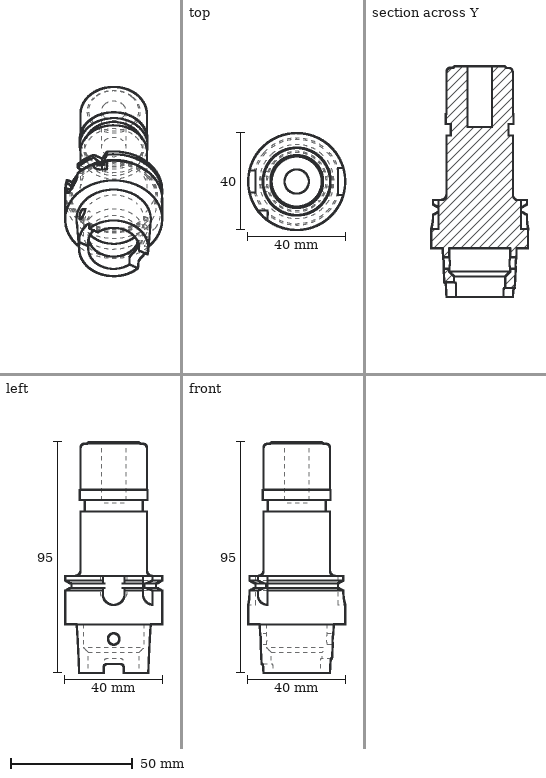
import cadquery as cq
import math


shank_length = 20.0
shank_seat_radius = 15.3
shank_taper = 1 / 20
shank_end_radius = shank_seat_radius - shank_taper * shank_length
shank_bore_radius = 12.5
mouth_radius = 10.5
mouth_cone_base = -9.5
mouth_cone_height = shank_bore_radius - mouth_radius
clamp_hole_radius = 2.3
clamp_hole_height = -6.0
drive_slot_width = 8.1
drive_slot_corner = 1.4
drive_slot_depths = {-1: 3.7, 1: 6.0}

flange_radius = 20.0
flange_height = 20.0
groove_radius = 17.4
groove_flank_radius = 18.0
groove_bottom = 15.0
groove_top = 16.9
groove_flank_angle = 30.0
flank_height = (flange_radius - groove_flank_radius) * math.tan(math.radians(groove_flank_angle))

slot_floor = 17.0
slot_end_height = 8.0
slot_widths = {-1: 9.0, 1: 11.0}
index_notch_inset = 12.0
index_notch_width = 9.0

total_height = 75.0
body_radius = 13.75
body_top = 46.5
body_fillet = 2.0
neck_radius = 12.0
collar_radius = 14.0
collar_bottom = 51.1
collar_top = 55.45
collar_chamfer = collar_radius - body_radius
nut_top = 74.4
nut_fillet = 2.0
collet_radius = 10.9
collet_chamfer = total_height - nut_top
collet_hole_radius = 5.0
collet_hole_depth = 25.0


def make_turned_body():
    """Outer shape, revolved about Z."""
    body_arc_offset = body_fillet * (1 - math.sqrt(0.5))
    body_arc_middle = (body_radius + body_arc_offset, flange_height + body_arc_offset)
    nut_arc_offset = nut_fillet * math.sqrt(0.5)
    nut_arc_middle = (
        body_radius - nut_fillet + nut_arc_offset,
        nut_top - nut_fillet + nut_arc_offset,
    )
    return (
        cq.Workplane("XZ")
        .moveTo(0, -shank_length)
        .lineTo(shank_end_radius, -shank_length)
        .lineTo(shank_seat_radius, 0)
        .lineTo(flange_radius, 0)
        .lineTo(flange_radius, groove_bottom - flank_height)
        .lineTo(groove_flank_radius, groove_bottom)
        .lineTo(groove_radius, groove_bottom)
        .lineTo(groove_radius, groove_top)
        .lineTo(groove_flank_radius, groove_top)
        .lineTo(flange_radius, groove_top + flank_height)
        .lineTo(flange_radius, flange_height)
        .lineTo(body_radius + body_fillet, flange_height)
        .threePointArc(body_arc_middle, (body_radius, flange_height + body_fillet))
        .lineTo(body_radius, body_top)
        .lineTo(neck_radius, body_top)
        .lineTo(neck_radius, collar_bottom)
        .lineTo(collar_radius, collar_bottom)
        .lineTo(collar_radius, collar_top - collar_chamfer)
        .lineTo(body_radius, collar_top)
        .lineTo(body_radius, nut_top - nut_fillet)
        .threePointArc(nut_arc_middle, (body_radius - nut_fillet, nut_top))
        .lineTo(collet_radius, nut_top)
        .lineTo(collet_radius - collet_chamfer, total_height)
        .lineTo(0, total_height)
        .close()
        .revolve(360, (0, 0, 0), (0, 1, 0))
    )


def make_shank_bore():
    """Hollow of the shank, narrowing to its mouth through a 45 degree cone."""
    return (
        cq.Workplane("XZ")
        .moveTo(0, -shank_length)
        .lineTo(mouth_radius, -shank_length)
        .lineTo(mouth_radius, mouth_cone_base - mouth_cone_height)
        .lineTo(shank_bore_radius, mouth_cone_base)
        .lineTo(shank_bore_radius, 0)
        .lineTo(0, 0)
        .close()
        .revolve(360, (0, 0, 0), (0, 1, 0))
    )


def make_collet_hole():
    """Blind tool hole in the end of the collet."""
    return (
        cq.Workplane("XY", origin=(0, 0, total_height - collet_hole_depth))
        .circle(collet_hole_radius)
        .extrude(collet_hole_depth)
    )


def make_clamp_hole():
    """Radial hole through both shank walls along X."""
    return (
        cq.Workplane("YZ", origin=(0, 0, clamp_hole_height))
        .circle(clamp_hole_radius)
        .extrude(shank_seat_radius, both=True)
    )


def make_drive_slot(side):
    """Slot with rounded upper corners in the shank end, open towards one side of X."""
    depth = drive_slot_depths[side]
    return (
        cq.Workplane("XY", origin=(side * shank_seat_radius / 2, 0, -shank_length))
        .box(shank_seat_radius, drive_slot_width, depth, centered=(True, True, False))
        .edges("|X and >Z")
        .fillet(drive_slot_corner)
    )


def make_round_ended_slot(floor_x, side, center_y, width):
    """Slot open upwards and outwards along X, with a full-radius lower end."""
    radius = width / 2
    arc_height = slot_end_height + radius
    return (
        cq.Workplane("YZ", origin=(floor_x, 0, 0))
        .moveTo(center_y - radius, flange_height)
        .lineTo(center_y - radius, arc_height)
        .threePointArc((center_y, slot_end_height), (center_y + radius, arc_height))
        .lineTo(center_y + radius, flange_height)
        .close()
        .extrude(side * flange_radius)
    )


result = make_turned_body()
result = result.cut(make_shank_bore())
result = result.cut(make_collet_hole())
result = result.cut(make_clamp_hole())
for side in (-1, 1):
    result = result.cut(make_drive_slot(side))
    result = result.cut(make_round_ended_slot(side * slot_floor, side, 0, slot_widths[side]))
index_notch_center = -(index_notch_inset + index_notch_width / 2)
index_notch = make_round_ended_slot(-index_notch_inset, -1, index_notch_center, index_notch_width)
result = result.cut(index_notch)